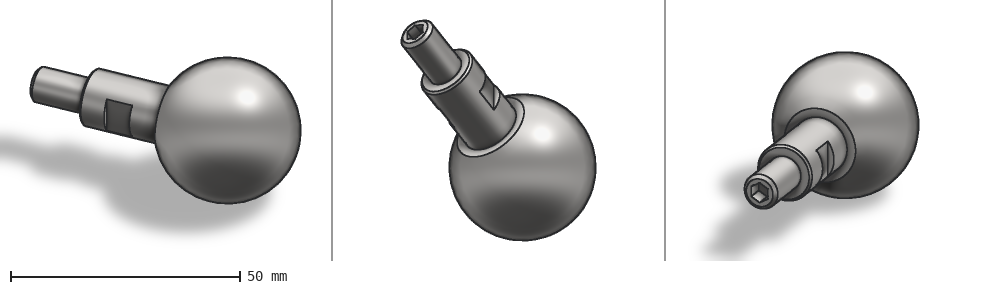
import cadquery as cq
import math

total_length = 61.5
ball_diameter = 32.0
ball_face_x = 32.0

pin_diameter = 8.0
pin_length = 13.0
pin_chamfer = 0.8

collar_diameter = 13.0
collar_chamfer = 0.5

flat_start_x = 19.0
flat_width = 6.0
across_wrench_flats = 10.0

hex_across_flats = 4.0
hex_depth = 4.0

ball_radius = ball_diameter / 2
ball_center_x = total_length - ball_radius
ball_face_radius = math.sqrt(ball_radius**2 - (ball_center_x - ball_face_x) ** 2)


def make_pin():
    pin = cq.Workplane("YZ").circle(pin_diameter / 2).extrude(pin_length)
    return pin.faces("<X").chamfer(pin_chamfer)


def make_collar():
    collar = (
        cq.Workplane("YZ", origin=(pin_length, 0, 0))
        .circle(collar_diameter / 2)
        .extrude(ball_face_x - pin_length)
    )
    return collar.faces("<X").chamfer(collar_chamfer)


def make_ball():
    """Revolve a half disc whose -X side is cut off flat."""
    return (
        cq.Workplane("XY")
        .moveTo(ball_face_x, 0)
        .lineTo(ball_face_x, ball_face_radius)
        .threePointArc((ball_center_x, ball_radius), (total_length, 0))
        .close()
        .revolve(360, (0, 0, 0), (1, 0, 0))
    )


def make_flat_cutter(side):
    """Block outside one wrench flat; side is +1 for +Y and -1 for -Y."""
    cutter_thickness = collar_diameter
    return cq.Workplane("XY").box(flat_width, cutter_thickness, collar_diameter).translate(
        (flat_start_x + flat_width / 2, side * (across_wrench_flats + cutter_thickness) / 2, 0)
    )


def make_hex_socket():
    across_corners = hex_across_flats / math.cos(math.pi / 6)
    socket = cq.Workplane("YZ").polygon(6, across_corners).extrude(hex_depth)
    return socket.rotate((0, 0, 0), (1, 0, 0), 90)


result = make_pin().union(make_collar()).union(make_ball())
for side in (1, -1):
    result = result.cut(make_flat_cutter(side))
result = result.cut(make_hex_socket())